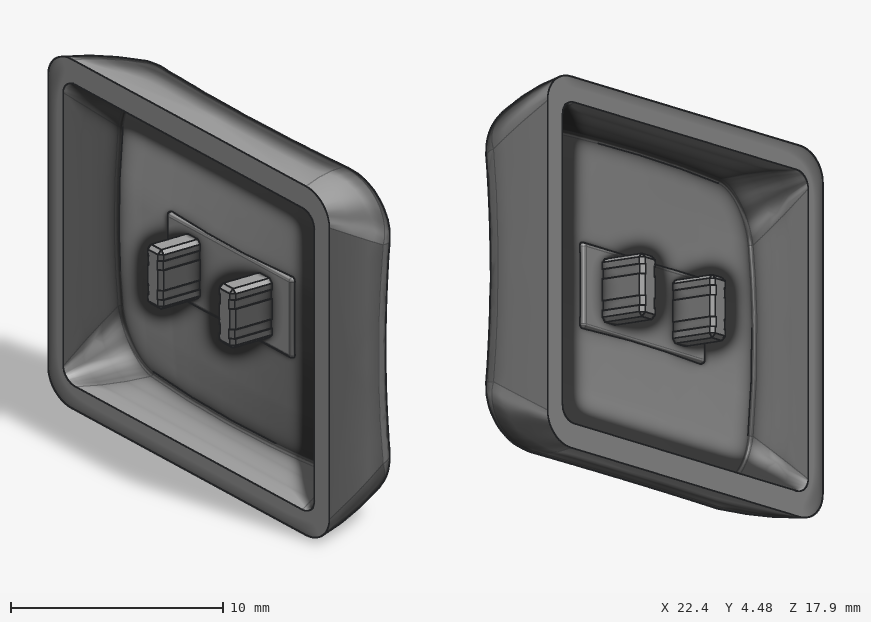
import cadquery as cq

WIDTH = 22.38
HEIGHT = 17.9
RIM_WIDTH = 1.2

BEND_X = 0.03038
BEND_Z = 0.04245

DISH_Y = 3.54
DISH_RADIUS_X = 77.2
DISH_RADIUS_Z = 51.7
TOP_FILLET = 1.3

OUTER_RUN_X = 9.3
OUTER_RUN_Z = 7.47
OUTER_DRIFT_X = 0.51
OUTER_DRIFT_Z = 0.55
INNER_RUN_X = 9.02
INNER_RUN_Z = 7.0
INNER_DRIFT_X = 0.6
INNER_DRIFT_Z = 0.8

FLOOR_Y = 2.35
FLOOR_FILLET = 0.18

PLATE_WIDTH = 9.98
PLATE_HEIGHT = 4.15
PLATE_Y = 2.33
PLATE_FILLET = 0.2

POST_SPACING = 5.7
POST_WIDTH = 1.2
POST_HEIGHT = 3.05
POST_TIP_Y = 0.0
POST_CHAMFER = 0.2
GROOVE_WIDTH = 0.47
GROOVE_DEPTH = 0.055
GROOVE_OFFSET = 0.75

ROOT_DEPTH = 0.45

LOFT_LEVELS = (0.0, 1.8, 3.58, 5.37)

DISH_REACH = 15.67


def outline(y, inset, run_x, run_z, drift_x, drift_z):
    """Rounded rectangle with quarter-ellipse corners at depth y."""
    half_x = WIDTH / 2 - inset - BEND_X * y**2
    half_z = HEIGHT / 2 - inset - BEND_Z * y**2
    flat_x = run_x - drift_x * y
    flat_z = run_z - drift_z * y
    rx = half_x - flat_x
    rz = half_z - flat_z
    plane = cq.Workplane(cq.Plane((0, y, 0), (1, 0, 0), (0, -1, 0)))
    wire = (
        plane.moveTo(half_x, -flat_z)
        .lineTo(half_x, flat_z)
        .ellipseArc(rx, rz, 0, 90, startAtCurrent=True)
        .lineTo(-flat_x, half_z)
        .ellipseArc(rx, rz, 90, 180, startAtCurrent=True)
        .lineTo(-half_x, -flat_z)
        .ellipseArc(rx, rz, 180, 270, startAtCurrent=True)
        .lineTo(flat_x, -half_z)
        .ellipseArc(rx, rz, 270, 360, startAtCurrent=True)
        .close()
    )
    return wire.val()


def curved_block(inset, *corner):
    """Loft through the outlines at every level."""
    wires = [outline(y, inset, *corner) for y in LOFT_LEVELS]
    return cq.Workplane(cq.Solid.makeLoft(wires))


def dish(y, radius_x, radius_z):
    """Cutter above a doubly curved dish whose lowest point is at y."""
    rise = radius_x - (radius_x**2 - DISH_REACH**2) ** 0.5
    axis_y = y + radius_z
    return (
        cq.Workplane("XY")
        .moveTo(-DISH_REACH, y + rise)
        .threePointArc((0, y), (DISH_REACH, y + rise))
        .lineTo(DISH_REACH, axis_y)
        .lineTo(-DISH_REACH, axis_y)
        .close()
        .revolve(360, (-DISH_REACH, axis_y), (DISH_REACH, axis_y))
    )


def shell():
    """Dished cap with rounded top edges, hollowed from the rim side."""
    body = curved_block(0, OUTER_RUN_X, OUTER_RUN_Z, OUTER_DRIFT_X, OUTER_DRIFT_Z)
    body = body.cut(dish(DISH_Y, DISH_RADIUS_X, DISH_RADIUS_Z))
    body = body.faces(">Y").edges().fillet(TOP_FILLET)
    cavity = curved_block(RIM_WIDTH, INNER_RUN_X, INNER_RUN_Z, INNER_DRIFT_X, INNER_DRIFT_Z)
    cavity = cavity.cut(dish(FLOOR_Y, DISH_RADIUS_X, DISH_RADIUS_Z))
    cavity = cavity.faces(">Y").edges().fillet(FLOOR_FILLET)
    return body.cut(cavity)


def plate():
    """Thin plate with rounded edges, rooted in the curved floor."""
    depth = FLOOR_Y + ROOT_DEPTH - PLATE_Y
    block = cq.Workplane("XY").box(PLATE_WIDTH, depth, PLATE_HEIGHT)
    block = block.edges("|Y or <Y").fillet(PLATE_FILLET)
    return block.translate((0, PLATE_Y + depth / 2, 0))


def post_core(width):
    """Post without grooves, bevelled all round its tip and down its corners."""
    depth = PLATE_Y + ROOT_DEPTH - POST_TIP_Y
    block = cq.Workplane("XY").box(width, depth, POST_HEIGHT)
    block = block.edges("|Y or <Y").chamfer(POST_CHAMFER)
    return block.translate((0, POST_TIP_Y + depth / 2, 0))


def post(x):
    """Post whose grooves, bevel included, step in to a narrower core."""
    body = post_core(POST_WIDTH)
    for z in (-GROOVE_OFFSET, GROOVE_OFFSET):
        gap = cq.Workplane("XY").box(WIDTH, WIDTH, GROOVE_WIDTH)
        body = body.cut(gap.translate((0, 0, z)))
    body = body.union(post_core(POST_WIDTH - 2 * GROOVE_DEPTH))
    return body.translate((x, 0, 0))


result = shell().union(plate())
for side in (-1, 1):
    result = result.union(post(side * POST_SPACING / 2))